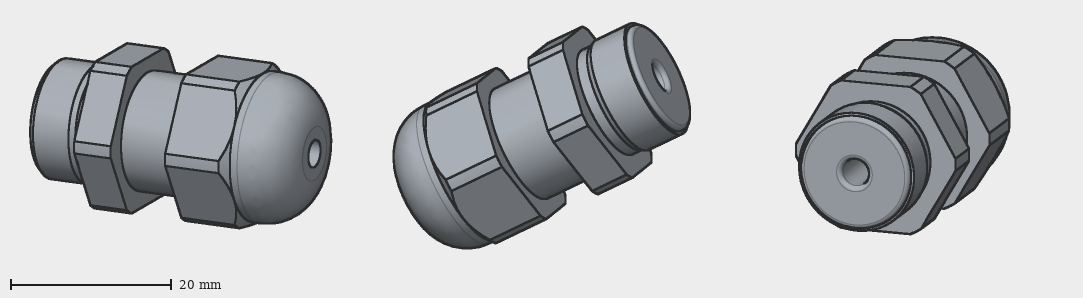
import cadquery as cq
import math


length = 36.0
across_flats = 19.0
across_corners = 21.1
bore_diameter = 3.5
body_diameter = 15.2
neck_diameter = 14.45

thread_start = 0.8
thread_end = 5.7
undercut_start = 6.45
flange_start = 7.92
flange_end = 12.95
nut_start = 20.5
nut_bevel_start = 27.85
dome_start = 29.9

lip_radius = 0.58
bore_entry_radius = 0.6

flat_radius = across_flats / 2
corner_radius = across_corners / 2
body_radius = body_diameter / 2
neck_radius = neck_diameter / 2
bore_radius = bore_diameter / 2
nut_bevel_end = nut_bevel_start + corner_radius - flat_radius
dome_radius = length - dome_start
nose_radius = flat_radius - dome_radius


def arc_point(center_x, center_r, radius, angle):
    """Point on a profile arc at an angle in degrees from the axis direction."""
    turn = math.radians(angle)
    return center_x + radius * math.cos(turn), center_r + radius * math.sin(turn)


def revolve_profile(profile):
    """Revolve a closed (axial, radial) profile about the X axis."""
    return profile.close().revolve(360, (0, 0, 0), (1, 0, 0))


def make_body():
    """Turned body: rounded lip, thread envelope, undercut and shank."""
    lip_center_r = neck_radius - lip_radius
    profile = (
        cq.Workplane("XY")
        .moveTo(0, 0)
        .lineTo(0, lip_center_r)
        .threePointArc(arc_point(lip_radius, lip_center_r, lip_radius, 135), (lip_radius, neck_radius))
        .lineTo(thread_start, neck_radius)
        .lineTo(thread_start, body_radius)
        .lineTo(thread_end, body_radius)
        .lineTo(undercut_start, neck_radius)
        .lineTo(flange_start, neck_radius)
        .lineTo(flange_start, body_radius)
        .lineTo(nut_start, body_radius)
        .lineTo(nut_start, 0)
    )
    return revolve_profile(profile)


def hex_prism(start, end):
    """Hexagonal prism with two flats facing up and down."""
    hexagon_diameter = across_flats / math.cos(math.radians(30))
    return cq.Workplane("YZ", origin=(start, 0, 0)).polygon(6, hexagon_diameter).extrude(end - start)


def make_flange():
    """Hexagonal flange with its corners rounded to a cylinder."""
    envelope = cq.Workplane("YZ", origin=(flange_start, 0, 0)).circle(corner_radius)
    return hex_prism(flange_start, flange_end).intersect(envelope.extrude(flange_end - flange_start))


def make_cap_nut():
    """Hexagonal cap nut, beveled into a round collar and dome."""
    bevel_profile = (
        cq.Workplane("XY")
        .moveTo(nut_start, 0)
        .lineTo(nut_start, corner_radius)
        .lineTo(nut_bevel_start, corner_radius)
        .lineTo(nut_bevel_end, flat_radius)
        .lineTo(nut_bevel_end, 0)
    )
    hexagon = hex_prism(nut_start, nut_bevel_end).intersect(revolve_profile(bevel_profile))
    dome_profile = (
        cq.Workplane("XY")
        .moveTo(nut_bevel_end, 0)
        .lineTo(nut_bevel_end, flat_radius)
        .lineTo(dome_start, flat_radius)
        .threePointArc(arc_point(dome_start, nose_radius, dome_radius, 45), (length, nose_radius))
        .lineTo(length, 0)
    )
    return hexagon.union(revolve_profile(dome_profile))


def make_bore():
    """Through bore with a rounded entry at X = 0."""
    entry_r = bore_radius + bore_entry_radius
    profile = (
        cq.Workplane("XY")
        .moveTo(0, 0)
        .lineTo(0, entry_r)
        .threePointArc(
            arc_point(bore_entry_radius, entry_r, bore_entry_radius, 225),
            (bore_entry_radius, bore_radius),
        )
        .lineTo(length, bore_radius)
        .lineTo(length, 0)
    )
    return revolve_profile(profile)


result = make_body().union(make_flange()).union(make_cap_nut()).cut(make_bore())